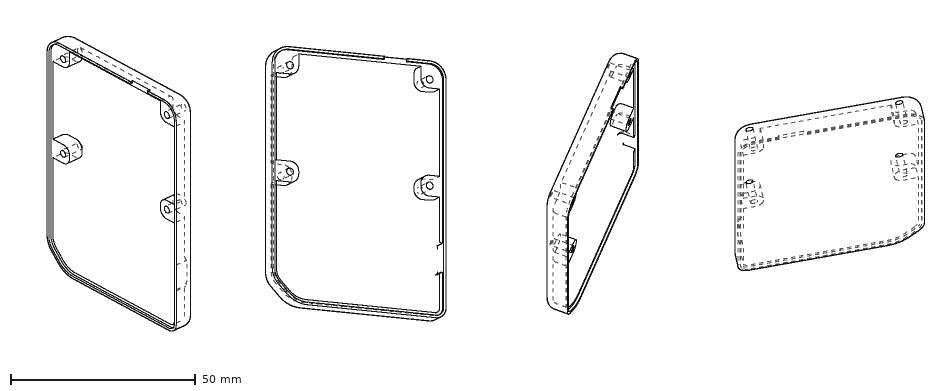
import cadquery as cq
import math

WIDTH = 51.7
HEIGHT = 71.5
DEPTH = 6.99
WALL = 1.6
FLOOR = 1.6
LEFT, RIGHT = -WIDTH / 2, WIDTH / 2
BOTTOM, TOP = -HEIGHT / 2, HEIGHT / 2

TOP_RADIUS = 4.9
BOTTOM_RIGHT_RADIUS = 3.0
CUT_ANGLE = 45
CUT_LEG = 6.9
CUT_LEFT_RADIUS = 6.0
CUT_BOTTOM_RADIUS = 8.5

OUTER_FILLET = 3.0
INNER_FILLET = OUTER_FILLET - WALL

LIP_WIDTH = 0.75
LEDGE_DEPTH = 0.75

NOTCH_WIDTH = 6.9
NOTCH_CENTER_X = 11.0

SCREW_HOLE_DIAMETER = 2.0
SCREW_SPREAD = 20.75
SCREW_MIDDLE_X = 0.52
UPPER_SCREW_Z = TOP - 5.0
MIDDLE_SCREW_Z = 1.1
POST_REACH = 2.6
POST_RADIUS = 2.5
UPPER_POST_DROP = 2.42
MIDDLE_POST_HEIGHT = 5.8

RELIEF_HEIGHT = 8.1
RELIEF_CENTER_Z = BOTTOM + 17.1
RELIEF_EDGE_RADIUS = 0.5


def prism(sketch, y_front, y_back):
    """Extrude a closed profile in X and Z from y_front to y_back."""
    return sketch.extrude(y_front - y_back).translate((0, y_front, 0))


def block(x_min, x_max, z_min, z_max, y_front, y_back):
    """Box between the given limits."""
    size = (x_max - x_min, y_back - y_front, z_max - z_min)
    return cq.Workplane("XY").box(*size, centered=False).translate((x_min, y_front, z_min))


def outline():
    """Outer outline of the tray, starting at the left end of the top side."""
    diagonal = math.cos(math.radians(CUT_ANGLE))
    half_turn_tangent = math.tan(math.radians(CUT_ANGLE / 2))
    left_setback = CUT_LEFT_RADIUS * half_turn_tangent
    bottom_setback = CUT_BOTTOM_RADIUS * half_turn_tangent
    return (
        cq.Workplane("XZ")
        .moveTo(LEFT + TOP_RADIUS, TOP)
        .lineTo(RIGHT - TOP_RADIUS, TOP)
        .tangentArcPoint((RIGHT, TOP - TOP_RADIUS), relative=False)
        .lineTo(RIGHT, BOTTOM + BOTTOM_RIGHT_RADIUS)
        .tangentArcPoint((RIGHT - BOTTOM_RIGHT_RADIUS, BOTTOM), relative=False)
        .lineTo(LEFT + CUT_LEG + bottom_setback, BOTTOM)
        .tangentArcPoint(
            (LEFT + CUT_LEG - bottom_setback * diagonal, BOTTOM + bottom_setback * diagonal),
            relative=False,
        )
        .lineTo(LEFT + left_setback * diagonal, BOTTOM + CUT_LEG - left_setback * diagonal)
        .tangentArcPoint((LEFT, BOTTOM + CUT_LEG + left_setback), relative=False)
        .lineTo(LEFT, TOP - TOP_RADIUS)
        .tangentArcPoint((LEFT + TOP_RADIUS, TOP), relative=False)
        .close()
    )


def shell_body():
    """Solid tray blank with its closed side rounded."""
    return prism(outline(), 0, DEPTH).faces(">Y").edges().fillet(OUTER_FILLET)


def cavity():
    """Inner space with the wall relief; rounded at the relief mouth and along the floor."""
    floor_y = DEPTH - FLOOR
    wall_x = RIGHT - WALL
    relief_ends = (RELIEF_CENTER_Z - RELIEF_HEIGHT / 2, RELIEF_CENTER_Z + RELIEF_HEIGHT / 2)
    space = prism(outline().offset2D(-WALL), 0, floor_y)
    space = space.union(block(0, RIGHT - LIP_WIDTH, *relief_ends, 0, floor_y))
    for end_z in relief_ends:
        mouth_edge = cq.selectors.NearestToPointSelector((wall_x, floor_y / 2, end_z))
        space = space.edges("|Y").edges(mouth_edge).fillet(RELIEF_EDGE_RADIUS)
    return space.faces(">Y").edges().fillet(INNER_FILLET)


def post(side, z_min, z_max, rounded_edges):
    """Post on the left (side = -1) or right (side = 1) wall with its inner edges rounded."""
    inner_x = SCREW_MIDDLE_X + side * (SCREW_SPREAD - POST_REACH)
    wall_x = side * (RIGHT - LIP_WIDTH)
    body = block(min(inner_x, wall_x), max(inner_x, wall_x), z_min, z_max, LEDGE_DEPTH, DEPTH - FLOOR)
    inner_side = "<X" if side > 0 else ">X"
    return body.faces(inner_side).edges(rounded_edges).fillet(POST_RADIUS)


def posts():
    """Two corner posts and two posts at mid height, trimmed to the inside of the lip."""
    upper_bottom = UPPER_SCREW_Z - UPPER_POST_DROP
    middle_bottom = MIDDLE_SCREW_Z - MIDDLE_POST_HEIGHT / 2
    group = cq.Workplane("XZ")
    for side in (-1, 1):
        group = group.union(post(side, upper_bottom, TOP - LIP_WIDTH, "|Y and <Z"))
        group = group.union(post(side, middle_bottom, middle_bottom + MIDDLE_POST_HEIGHT, "|Y"))
    inside_lip = prism(outline().offset2D(-LIP_WIDTH), LEDGE_DEPTH, DEPTH - FLOOR)
    return group.intersect(inside_lip)


def lip_recess():
    """Space inside the lip, down to the ledge."""
    return prism(outline().offset2D(-LIP_WIDTH), 0, LEDGE_DEPTH)


def notch():
    """Gap in the top lip, level with the ledge."""
    notch_left = NOTCH_CENTER_X - NOTCH_WIDTH / 2
    return block(notch_left, notch_left + NOTCH_WIDTH, TOP - WALL, TOP, 0, LEDGE_DEPTH)


def screw_holes():
    """Holes through the four posts and the floor."""
    columns = (SCREW_MIDDLE_X - SCREW_SPREAD, SCREW_MIDDLE_X + SCREW_SPREAD)
    centers = [(x, z) for x in columns for z in (UPPER_SCREW_Z, MIDDLE_SCREW_Z)]
    return prism(cq.Workplane("XZ").pushPoints(centers).circle(SCREW_HOLE_DIAMETER / 2), 0, DEPTH)


result = (
    shell_body()
    .cut(cavity())
    .union(posts())
    .cut(lip_recess())
    .cut(notch())
    .cut(screw_holes())
)